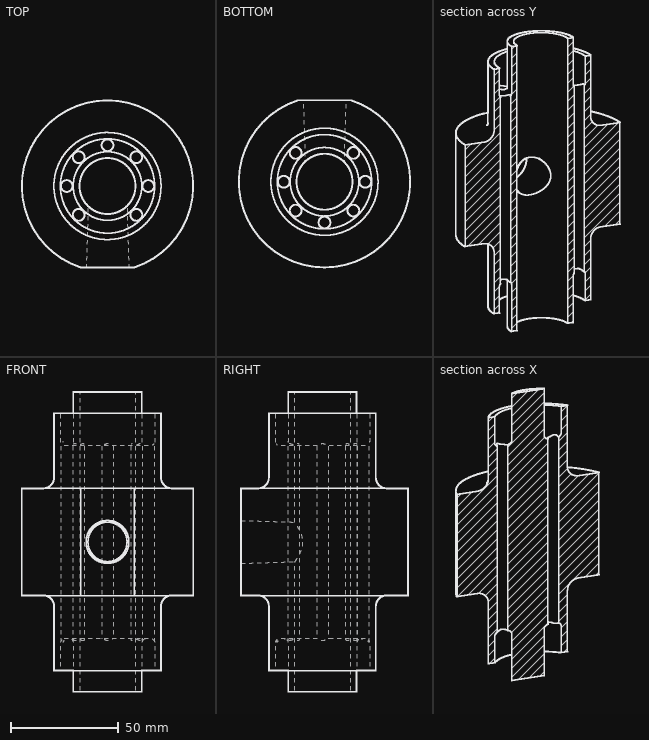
import cadquery as cq
import math

total_length = 139.83
body_diameter = 80.01
body_length = 50.0
flat_offset = 38.005

sleeve_diameter = 50.0
sleeve_length = 120.0
sleeve_wall = 3.0
tube_diameter = 32.0
bore_diameter = 26.0
neck_fillet = 5.0

groove_depth = 15.0
groove_floor_fillet = 2.0

axial_hole_diameter = 5.4
axial_hole_positions = 8
port_angle = 270.0

port_mouth_diameter = 20.0
port_taper = 1 / 16

groove_outer_radius = sleeve_diameter / 2 - sleeve_wall
groove_inner_radius = tube_diameter / 2
groove_middle_radius = (groove_outer_radius + groove_inner_radius) / 2


def centered_cylinder(diameter, length):
    return cq.Workplane("XY").circle(diameter / 2).extrude(length / 2, both=True)


def make_flanged_body():
    """Central body with a flat, and a sleeve blended into both of its faces."""
    body = centered_cylinder(body_diameter, body_length)
    body = body.union(centered_cylinder(sleeve_diameter, sleeve_length))
    reach = sleeve_diameter + neck_fillet
    neck_corners = cq.selectors.BoxSelector(
        (-reach / 2, -reach / 2, -body_length),
        (reach / 2, reach / 2, body_length),
        boundingbox=True,
    )
    body = body.edges(neck_corners).edges("%CIRCLE").fillet(neck_fillet)
    kept_side = cq.Workplane("XY").box(
        body_diameter, body_diameter, total_length, centered=(True, False, True)
    ).translate((0, -flat_offset, 0))
    return body.intersect(kept_side)


def make_groove():
    """Ring-shaped cutter for the upper groove, with its floor corners rounded."""
    floor_height = sleeve_length / 2 - groove_depth
    ring = (
        cq.Workplane("XY")
        .workplane(offset=floor_height)
        .circle(groove_outer_radius)
        .circle(groove_inner_radius)
        .extrude(groove_depth)
    )
    return ring.faces("<Z").edges().fillet(groove_floor_fillet)


def make_axial_holes():
    pitch = 360.0 / axial_hole_positions
    angles = [port_angle + pitch * step for step in range(1, axial_hole_positions)]
    centers = [
        (
            groove_middle_radius * math.cos(math.radians(angle)),
            groove_middle_radius * math.sin(math.radians(angle)),
        )
        for angle in angles
    ]
    return (
        cq.Workplane("XY")
        .pushPoints(centers)
        .circle(axial_hole_diameter / 2)
        .extrude(sleeve_length / 2, both=True)
    )


def make_port():
    """Tapered cutter revolved about Y, from the flat to the main axis."""
    mouth_radius = port_mouth_diameter / 2
    inner_radius = mouth_radius - flat_offset * port_taper / 2
    half_profile = [
        (0, 0),
        (0, -inner_radius),
        (-flat_offset, -mouth_radius),
        (-flat_offset, 0),
    ]
    return cq.Workplane("YZ").polyline(half_profile).close().revolve(360, (0, 0, 0), (1, 0, 0))


upper_groove = make_groove()
lower_groove = upper_groove.mirror("XY")

result = make_flanged_body().cut(upper_groove).cut(lower_groove)
result = result.union(centered_cylinder(tube_diameter, total_length))
result = result.cut(centered_cylinder(bore_diameter, total_length))
result = result.cut(make_axial_holes())
result = result.cut(make_port())